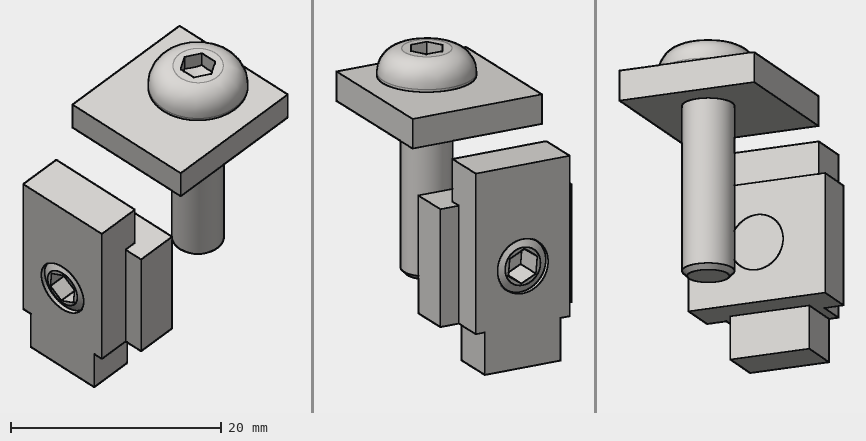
import cadquery as cq
import math

SHANK_DIAMETER = 5
SHANK_LENGTH = 20.0
SHANK_CHAMFER = 0.5
HEAD_DIAMETER = 9.5
HEAD_TOP_DIAMETER = 4.8
HEAD_HEIGHT = 2.75
HEAD_RIM_HEIGHT = 0.3
HEX_ACROSS_FLATS = 3.0
SCREW_SOCKET_DEPTH = 1.55
SOCKET_CONE_HEIGHT = 0.53

PLATE_WIDTH = 14.07
PLATE_DEPTH = 15.0
PLATE_THICKNESS = 3.0
HOLE_TO_BACK_EDGE = 5

BLOCK_WIDTH = 10.22
BLOCK_DEPTH = 4.65
BLOCK_HEIGHT = 20.6
TONGUE_WIDTH = 8.25
TONGUE_HEIGHT = 4.32
FLANGE_WIDTH = 14.25
FLANGE_DEPTH = 4.35
FLANGE_HEIGHT = 11.95
FLANGE_OFFSET = 3.03

SET_SCREW_DIAMETER = 5.5
SET_SCREW_TIP_DIAMETER = 3.85
SET_SCREW_CHAMFER_DEPTH = 0.47
SET_SCREW_SOCKET_DEPTH = 3.0
SET_SCREW_TURN = 25

TOTAL_HEIGHT = 26.35
TOTAL_DEPTH = 23.95

HEX_DIAMETER = HEX_ACROSS_FLATS / math.cos(math.radians(30))
PLATE_TOP = TOTAL_HEIGHT - HEAD_HEIGHT
SCREW_Y = TOTAL_DEPTH - HOLE_TO_BACK_EDGE
BLOCK_BACK = BLOCK_DEPTH + FLANGE_OFFSET
SET_SCREW_Z = TONGUE_HEIGHT + FLANGE_HEIGHT / 2


def box(width, front, depth, bottom, height):
    """Box centred on X = 0, starting at the given front (Y) and bottom (Z)."""
    return cq.Workplane("XY").box(width, depth, height, centered=(True, False, False)).translate(
        (0, front, bottom)
    )


def make_screw():
    shank_radius = SHANK_DIAMETER / 2
    head_radius = HEAD_DIAMETER / 2
    top_radius = HEAD_TOP_DIAMETER / 2
    dome_mid = (
        top_radius + (head_radius - top_radius) * math.sqrt(0.5),
        HEAD_RIM_HEIGHT + (HEAD_HEIGHT - HEAD_RIM_HEIGHT) * math.sqrt(0.5),
    )
    body = (
        cq.Workplane("XZ")
        .moveTo(0, -SHANK_LENGTH)
        .lineTo(shank_radius - SHANK_CHAMFER, -SHANK_LENGTH)
        .lineTo(shank_radius, SHANK_CHAMFER - SHANK_LENGTH)
        .lineTo(shank_radius, 0)
        .lineTo(head_radius, 0)
        .lineTo(head_radius, HEAD_RIM_HEIGHT)
        .threePointArc(dome_mid, (top_radius, HEAD_HEIGHT))
        .lineTo(0, HEAD_HEIGHT)
        .close()
        .revolve(360, (0, 0), (0, 1))
    )
    floor = HEAD_HEIGHT - SCREW_SOCKET_DEPTH
    prism = (
        cq.Workplane("XY")
        .workplane(offset=floor - SOCKET_CONE_HEIGHT)
        .polygon(6, HEX_DIAMETER)
        .extrude(SCREW_SOCKET_DEPTH + SOCKET_CONE_HEIGHT)
    )
    slope = HEX_DIAMETER / 2 / SOCKET_CONE_HEIGHT
    cone_height = SCREW_SOCKET_DEPTH + SOCKET_CONE_HEIGHT
    cone = (
        cq.Workplane("XZ")
        .moveTo(0, floor - SOCKET_CONE_HEIGHT)
        .lineTo(cone_height * slope, HEAD_HEIGHT)
        .lineTo(0, HEAD_HEIGHT)
        .close()
        .revolve(360, (0, 0), (0, 1))
    )
    return body.cut(prism.intersect(cone)).translate((0, SCREW_Y, PLATE_TOP))


def make_plate():
    plate = box(
        PLATE_WIDTH, TOTAL_DEPTH - PLATE_DEPTH, PLATE_DEPTH, PLATE_TOP - PLATE_THICKNESS, PLATE_THICKNESS
    )
    hole = (
        cq.Workplane("XY")
        .workplane(offset=PLATE_TOP - PLATE_THICKNESS)
        .center(0, SCREW_Y)
        .circle(SHANK_DIAMETER / 2)
        .extrude(PLATE_THICKNESS)
    )
    return plate.cut(hole)


def make_block():
    tongue = box(TONGUE_WIDTH, 0, BLOCK_DEPTH, 0, TONGUE_HEIGHT)
    web = box(BLOCK_WIDTH, 0, BLOCK_DEPTH, TONGUE_HEIGHT, BLOCK_HEIGHT - TONGUE_HEIGHT)
    flange = box(FLANGE_WIDTH, BLOCK_BACK - FLANGE_DEPTH, FLANGE_DEPTH, TONGUE_HEIGHT, FLANGE_HEIGHT)
    hole = (
        cq.Workplane("XZ", origin=(0, 0, SET_SCREW_Z))
        .circle(SET_SCREW_DIAMETER / 2)
        .extrude(-BLOCK_BACK)
    )
    return web.union(tongue).union(flange).cut(hole)


def make_set_screw():
    body = (
        cq.Workplane("XY", origin=(0, 0, SET_SCREW_Z))
        .lineTo(SET_SCREW_TIP_DIAMETER / 2, 0)
        .lineTo(SET_SCREW_DIAMETER / 2, SET_SCREW_CHAMFER_DEPTH)
        .lineTo(SET_SCREW_DIAMETER / 2, BLOCK_BACK)
        .lineTo(0, BLOCK_BACK)
        .close()
        .revolve(360, (0, 0), (0, 1))
    )
    socket = (
        cq.Workplane("XZ", origin=(0, 0, SET_SCREW_Z))
        .polygon(6, HEX_DIAMETER)
        .extrude(-SET_SCREW_SOCKET_DEPTH)
        .rotate((0, 0, SET_SCREW_Z), (0, -1, SET_SCREW_Z), SET_SCREW_TURN)
    )
    return body.cut(socket)


screw = make_screw()
plate = make_plate()
block = make_block()
set_screw = make_set_screw()

result = cq.Compound.makeCompound([screw.val(), plate.val(), block.val(), set_screw.val()])